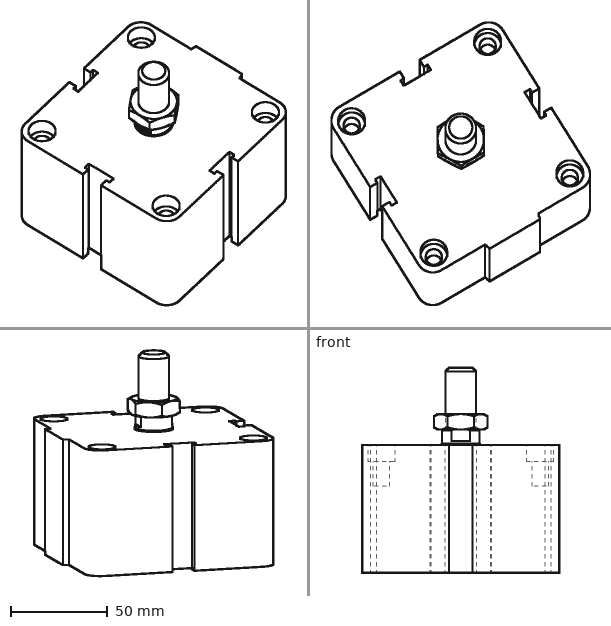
import cadquery as cq
import math

SIDE = 102.0
HOUSING_HEIGHT = 66.0
CORNER_RADIUS = 8.5
TOTAL_HEIGHT = 106.0

SLOT_MOUTH_WIDTH = 12.0
SLOT_HEAD_WIDTH = 16.3
SLOT_LIP = 4.3
SLOT_DEPTH = 7.5

OVERALL_DEPTH = 105.0
STRIP_ROOT_WIDTH = 32.0
STRIP_FACE_WIDTH = 30.5
STRIP_PROJECTION = OVERALL_DEPTH - SIDE

HOLE_SPACING = 82.0
COUNTERBORE_DIAMETER = 14.0
COUNTERBORE_DEPTH = 8.5
HOLE_DIAMETER = 8.4
HOLE_DEPTH = 21.2

COLLAR_DIAMETER = 20.0
COLLAR_HEIGHT = 0.6
SHANK_DIAMETER = 19.5
FLAT_DISTANCE = 17.0
FLAT_START = 2.0
SHANK_HEIGHT = 8.0
SHANK_CHAMFER = 0.4
STUD_DIAMETER = 16.0
STUD_CHAMFER = 2.0

NUT_ACROSS_FLATS = 24.0
NUT_HEIGHT = 8.0
NUT_FACE_DIAMETER = NUT_ACROSS_FLATS
NUT_CHAMFER_ANGLE = 30.0


def slot_cutter():
    """T-slot profile opening towards -Y, extruded through the housing height."""
    outer = -SIDE / 2
    neck = outer + SLOT_LIP
    floor = outer + SLOT_DEPTH
    mouth = (
        cq.Workplane("XY")
        .box(SLOT_MOUTH_WIDTH, SLOT_LIP, HOUSING_HEIGHT, centered=(True, False, False))
        .translate((0, outer, 0))
    )
    head = (
        cq.Workplane("XY")
        .box(SLOT_HEAD_WIDTH, floor - neck, HOUSING_HEIGHT, centered=(True, False, False))
        .translate((0, neck, 0))
    )
    return mouth.union(head)


def make_strip():
    """Raised strip with slightly sloping flanks on the +Y side."""
    root = SIDE / 2
    face = root + STRIP_PROJECTION
    return (
        cq.Workplane("XY")
        .polyline([
            (-STRIP_ROOT_WIDTH / 2, root),
            (STRIP_ROOT_WIDTH / 2, root),
            (STRIP_FACE_WIDTH / 2, face),
            (-STRIP_FACE_WIDTH / 2, face),
        ])
        .close()
        .extrude(HOUSING_HEIGHT)
    )


def make_housing():
    housing = (
        cq.Workplane("XY")
        .box(SIDE, SIDE, HOUSING_HEIGHT, centered=(True, True, False))
        .edges("|Z")
        .fillet(CORNER_RADIUS)
        .union(make_strip())
    )
    for angle in (0, 90, -90):
        housing = housing.cut(slot_cutter().rotate((0, 0, 0), (0, 0, 1), angle))
    return (
        housing.faces(">Z")
        .workplane(origin=(0, 0, HOUSING_HEIGHT))
        .rect(HOLE_SPACING, HOLE_SPACING, forConstruction=True)
        .vertices()
        .cboreHole(HOLE_DIAMETER, COUNTERBORE_DIAMETER, COUNTERBORE_DEPTH, HOLE_DEPTH)
    )


def make_rod():
    """Piston rod standing on the top face of the housing."""
    shank = (
        cq.Workplane("XY")
        .circle(SHANK_DIAMETER / 2)
        .extrude(SHANK_HEIGHT)
        .faces(">Z")
        .chamfer(SHANK_CHAMFER)
    )
    flats = (
        cq.Workplane("XY")
        .workplane(offset=FLAT_START)
        .rect(SHANK_DIAMETER, FLAT_DISTANCE)
        .extrude(SHANK_HEIGHT - FLAT_START)
    )
    foot = cq.Workplane("XY").circle(SHANK_DIAMETER / 2).extrude(FLAT_START)
    collar = (
        cq.Workplane("XY")
        .circle(COLLAR_DIAMETER / 2)
        .extrude(COLLAR_HEIGHT)
        .faces(">Z")
        .chamfer((COLLAR_DIAMETER - SHANK_DIAMETER) / 2)
    )
    stud = (
        cq.Workplane("XY")
        .circle(STUD_DIAMETER / 2)
        .extrude(TOTAL_HEIGHT - HOUSING_HEIGHT)
        .faces(">Z")
        .chamfer(STUD_CHAMFER)
    )
    rod = shank.intersect(flats).union(foot).union(collar).union(stud)
    return rod.translate((0, 0, HOUSING_HEIGHT))


def make_nut():
    """Hexagonal nut with two corners on the X axis and both ends chamfered."""
    across_corners = NUT_ACROSS_FLATS / math.cos(math.radians(30))
    reach = across_corners / 2
    drop = (reach - NUT_FACE_DIAMETER / 2) * math.tan(math.radians(NUT_CHAMFER_ANGLE))
    envelope = (
        cq.Workplane("XZ")
        .polyline([
            (0, 0),
            (NUT_FACE_DIAMETER / 2, 0),
            (reach, drop),
            (reach, NUT_HEIGHT - drop),
            (NUT_FACE_DIAMETER / 2, NUT_HEIGHT),
            (0, NUT_HEIGHT),
        ])
        .close()
        .revolve(360, (0, 0), (0, 1))
    )
    return (
        cq.Workplane("XY")
        .polygon(6, across_corners)
        .extrude(NUT_HEIGHT)
        .intersect(envelope)
        .cut(cq.Workplane("XY").circle(STUD_DIAMETER / 2).extrude(NUT_HEIGHT))
        .translate((0, 0, HOUSING_HEIGHT + SHANK_HEIGHT))
    )


housing = make_housing()
rod = make_rod()
nut = make_nut()

result = cq.Compound.makeCompound([housing.solids().val(), rod.solids().val(), nut.solids().val()])